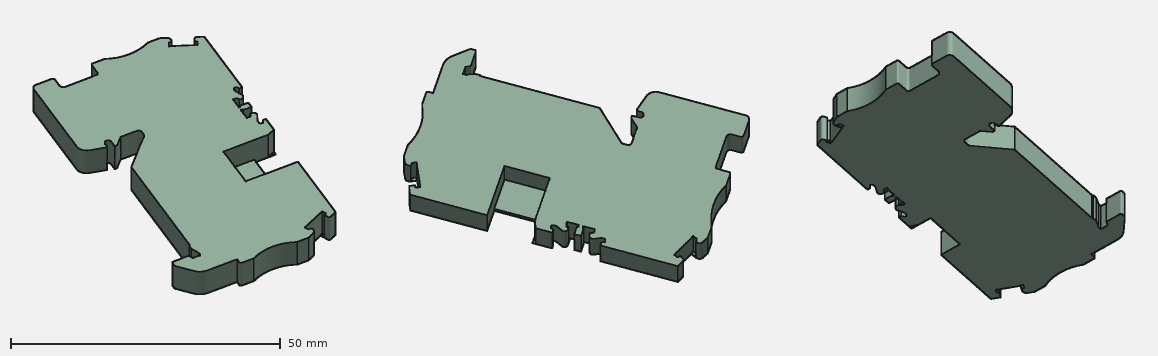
import cadquery as cq
import math

half_length = 29.5
height = 34.4
thickness = 6.0

skin = 0.2

shoulder_y = 12.45
edge_round = 0.25

hook_tip_x = 26.7
hook_tip_y = 32.7
hook_top_x = 25.95
latch_wall_top = (24.85, 31.8)
latch_wall_bottom = (26.6, 27.95)

right_foot_outer_x = 28.25
right_foot_toe_x = 23.25
right_foot_inner_x = 24.15
right_foot_bottom_y = 1.4
left_foot_outer_x = -26.5
left_foot_toe_y = 4.65
left_foot_inner_x = -10.1
web_y = 6.45
bump_y = 6.25
lip_x = -8.45
slit_end_x = -10.45
slit_top_y = 6.25
slit_bottom_y = 5.0

slot_left = 2.25
slot_right = 11.05
slot_floor_y = 23.4
ledge_end_y = 29.9
ledge_thickness = 0.8
slot_chamfer_x = 0.65
slot_chamfer_y = 1.55

notch_x = -6.25
notch_floor_y = 31.4
notch_half_width = 2.05
finger_half_width = 0.65
finger_top_y = 33.5
neck_half_width = 0.4
neck_height = 0.35
notch_recess_width = 0.65
notch_recess_height = 1.0

scallop_y = 19.9
scallop_half_width = 4.55
scallop_depth = 1.05


def mirrored(corners):
    """Corners reflected in the YZ plane, in reverse order so the outline keeps its direction."""
    return [(-corner[0], *corner[1:]) for corner in reversed(corners)]


def rounded_outline(corners):
    """Closed wire through (x, y) corners; a corner given as (x, y, radius) is rounded."""
    path = None
    count = len(corners)
    for i, (x, y, *rounding) in enumerate(corners):
        radius = rounding[0] if rounding else 0
        here = cq.Vector(x, y)
        to_last = (cq.Vector(*corners[i - 1][:2]) - here).normalized()
        to_next = (cq.Vector(*corners[(i + 1) % count][:2]) - here).normalized()
        half_angle = to_last.getAngle(to_next) / 2
        setback = radius / math.tan(half_angle)
        bisector = (to_last + to_next).normalized() if radius else to_last
        start = here + to_last * setback
        middle = here + bisector * (radius / math.sin(half_angle) - radius)
        end = here + to_next * setback
        path = path.lineTo(start.x, start.y) if path else cq.Workplane("XY").moveTo(start.x, start.y)
        if radius:
            path = path.threePointArc((middle.x, middle.y), (end.x, end.y))
    return path.close()


def prism(corners, bottom=0.0, top=thickness):
    """Straight block with the given outline between two Z levels."""
    return rounded_outline(corners).extrude(top - bottom).translate((0, 0, bottom))


end_profile = [
    latch_wall_top,
    latch_wall_bottom,
    (27.8, 28.55, edge_round),
    (28.7, 28.55, 0.7),
    (half_length, 26.9),
    (half_length, shoulder_y, 0.35),
]

right_hook = [(hook_top_x, height), (hook_tip_x, hook_tip_y, 0.2)]
left_hook = [(-hook_tip_x, hook_tip_y, 0.55), (-hook_top_x, height)]

right_foot = [
    (right_foot_outer_x, shoulder_y),
    (right_foot_outer_x, 4.9, 3.25),
    (24.35, right_foot_bottom_y, 0.9),
    (right_foot_toe_x, right_foot_bottom_y, edge_round),
    (right_foot_toe_x, 4.95, edge_round),
    (right_foot_inner_x, 5.35),
    (right_foot_inner_x, 6.95),
    (23.55, 6.95),
    (21.85, bump_y),
    (21.0, bump_y),
    (20.8, web_y),
]

left_foot = [
    (-2.25, web_y),
    (-8.4, shoulder_y, 0.65),
    (left_foot_inner_x, shoulder_y, 0.65),
    (left_foot_inner_x, 8.4),
    (lip_x, 6.8, 0.2),
    (lip_x, slit_top_y),
    (slit_end_x, slit_top_y, 0.55),
    (slit_end_x, slit_bottom_y, 0.55),
    (-8.85, slit_bottom_y, edge_round),
    (-10.15, 0, 2.1),
    (-half_length, 0, 0.9),
    (-half_length, left_foot_toe_y, 0.5),
    (left_foot_outer_x, left_foot_toe_y, 0.8),
    (left_foot_outer_x, shoulder_y, 0.5),
]


def body():
    """Full-thickness plate before the slot, notch, scallops and recesses are cut."""
    return prism(right_hook + end_profile + right_foot + left_foot + mirrored(end_profile) + left_hook)


def scallop(side):
    """Shallow cylindrical hollow in the end at side = -1 or +1."""
    radius = (scallop_half_width**2 + scallop_depth**2) / (2 * scallop_depth)
    center_x = side * (half_length - scallop_depth + radius)
    return cq.Workplane("XY").center(center_x, scallop_y).circle(radius).extrude(thickness)


def finger_notch():
    """Symmetric notch with undercut lips, less the upright finger in its middle."""
    right_half = [
        (4.65, height),
        (4.65, 33.75),
        (5.25, 33.5, 0.3),
        (5.25, 32.8, 0.35),
        (4.35, 32.8, edge_round),
        (notch_half_width, 33.9, 0.7),
        (notch_half_width, notch_floor_y),
    ]
    finger_half = [
        (finger_half_width, finger_top_y),
        (finger_half_width, notch_floor_y + neck_height),
        (neck_half_width, notch_floor_y + neck_height),
        (neck_half_width, notch_floor_y),
    ]
    notch = prism(right_half + mirrored(right_half))
    finger = prism(finger_half + mirrored(finger_half))
    return notch.cut(finger).translate((notch_x, 0, 0))


def notch_recesses():
    """Recesses beside the notch floor, open to the notch and closed below by the skin."""
    outer = notch_half_width + notch_recess_width
    top_y = notch_floor_y + notch_recess_height
    right = [
        (notch_half_width, notch_floor_y),
        (outer, notch_floor_y),
        (outer, top_y, 0.5),
        (notch_half_width, top_y),
    ]
    recesses = prism(right, skin).union(prism(mirrored(right), skin))
    return recesses.translate((notch_x, 0, 0))


def latch_recesses():
    """Recesses at both ends of each latch wall, closed below by the skin."""
    upper = [latch_wall_top, (24.65, 32.3), (25.4, 32.7, 0.2), (25.65, 32.15)]
    lower = [latch_wall_bottom, (26.8, 27.45), (27.6, 27.8, 0.3), (27.7, 28.5)]
    recesses = prism(upper, skin)
    for corners in (lower, mirrored(upper), mirrored(lower)):
        recesses = recesses.union(prism(corners, skin))
    return recesses


def slot_block(end_y, top):
    """Block as wide as the slot, from its floor edge to end_y."""
    corners = [(slot_left, slot_floor_y), (slot_right, slot_floor_y), (slot_right, end_y), (slot_left, end_y)]
    return prism(corners, top=top)


def slot():
    """Rectangular slot with a thin ledge left along its floor edge."""
    return slot_block(height, thickness).cut(slot_block(ledge_end_y, ledge_thickness))


def slot_chamfer():
    """Bevel on the left slot corner, above the skin."""
    return prism(
        [(slot_left, height), (slot_left - slot_chamfer_x, height), (slot_left, height - slot_chamfer_y)],
        skin,
    )


result = body()
for side in (-1, 1):
    result = result.cut(scallop(side))
for cutter in (finger_notch(), notch_recesses(), latch_recesses(), slot(), slot_chamfer()):
    result = result.cut(cutter)